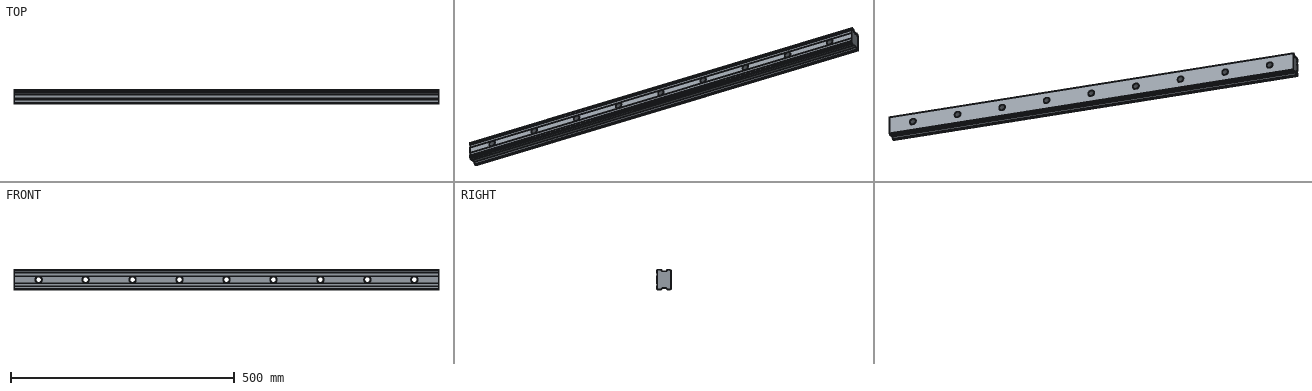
import cadquery as cq
import math

length = 950.0
depth = 32.0
height = 45.0
half_depth = depth / 2
half_height = height / 2

hole_count = 9
hole_pitch = 105.0
hole_diameter = 14.0

front_chamfer = 2.0
back_chamfer_angle = 30.0
back_chamfer_along_z = 2.0
back_chamfer_along_y = back_chamfer_along_z / math.tan(math.radians(back_chamfer_angle))

groove_depth = 3.5
groove_back_y = 8.3
groove_front_y = -7.2

relief_inner_z = 7.5
relief_outer_z = 15.0
relief_depth = 0.5


def make_bar():
    """Chamfered bar without its grooves and holes."""
    upper_outline = [
        (-half_depth, 0),
        (-half_depth, half_height - front_chamfer),
        (-half_depth + front_chamfer, half_height),
        (half_depth - back_chamfer_along_y, half_height),
        (half_depth, half_height - back_chamfer_along_z),
        (half_depth, 0),
    ]
    return cq.Workplane("YZ").polyline(upper_outline).mirrorX().extrude(length / 2, both=True)


def running_groove(side):
    """Cutter for the groove in the +Z (side = 1) or -Z (side = -1) face."""
    face_z = side * half_height
    floor_z = side * (half_height - groove_depth)
    groove_outline = [
        (groove_back_y, face_z),
        (groove_back_y - groove_depth, floor_z),
        (groove_front_y + groove_depth, floor_z),
        (groove_front_y, face_z),
    ]
    return cq.Workplane("YZ").polyline(groove_outline).close().extrude(length / 2, both=True)


def relief_groove(side):
    """Cutter for the mounting-face relief above (side = 1) or below (side = -1) the holes."""
    width = relief_outer_z - relief_inner_z
    centre_y = -half_depth + relief_depth / 2
    centre_z = side * (relief_outer_z + relief_inner_z) / 2
    return cq.Workplane("XY").box(length, relief_depth, width).translate((0, centre_y, centre_z))


def mounting_holes():
    """Cutters for the row of through holes along Y."""
    return (
        cq.Workplane("XZ")
        .rarray(hole_pitch, 1, hole_count, 1)
        .circle(hole_diameter / 2)
        .extrude(half_depth, both=True)
    )


result = make_bar()
for side in (1, -1):
    result = result.cut(running_groove(side))
    result = result.cut(relief_groove(side))
result = result.cut(mounting_holes())